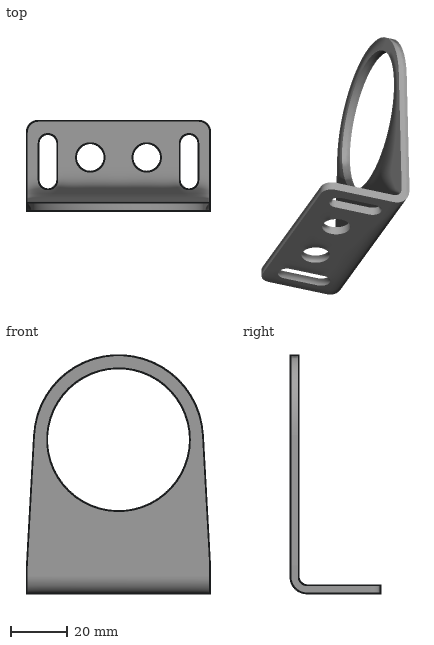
import cadquery as cq
import math

width = 65.0
depth = 32.0
thickness = 3.0
inner_bend_radius = 3.0
outer_bend_radius = inner_bend_radius + thickness

head_radius = 30.0
head_center_z = 54.5
bore_diameter = 50.5
straight_side_height = 10.0
height = head_center_z + head_radius

corner_radius = 4.0
hole_diameter = 10.0
hole_spacing = 20.0
hole_y = 19.0
slot_width = 6.5
slot_length = 19.5
slot_spacing = 50.0
slot_y = 17.5


def bent_sheet():
    """L-shaped strip: base along +Y, upright along +Z, front face at Y = 0."""
    return (
        cq.Workplane("YZ")
        .moveTo(depth, 0)
        .lineTo(outer_bend_radius, 0)
        .radiusArc((0, outer_bend_radius), outer_bend_radius)
        .lineTo(0, height)
        .lineTo(thickness, height)
        .lineTo(thickness, outer_bend_radius)
        .radiusArc((outer_bend_radius, thickness), -inner_bend_radius)
        .lineTo(depth, thickness)
        .close()
        .extrude(width / 2, both=True)
    )


def front_outline():
    """Front silhouette through the full depth: sides taper tangentially into the head."""
    half_width = width / 2
    drop = head_center_z - straight_side_height
    tangent_angle = math.acos(head_radius / math.hypot(half_width, drop)) - math.atan2(drop, half_width)
    tangent_x = head_radius * math.cos(tangent_angle)
    tangent_z = head_center_z + head_radius * math.sin(tangent_angle)
    return (
        cq.Workplane("XZ")
        .moveTo(-half_width, 0)
        .lineTo(half_width, 0)
        .lineTo(half_width, straight_side_height)
        .lineTo(tangent_x, tangent_z)
        .threePointArc((0, height), (-tangent_x, tangent_z))
        .lineTo(-half_width, straight_side_height)
        .close()
        .extrude(-depth)
    )


def head_bore():
    """Large round opening, concentric with the head."""
    return (
        cq.Workplane("XZ")
        .center(0, head_center_z)
        .circle(bore_diameter / 2)
        .extrude(-thickness)
    )


def base_openings():
    """Two round holes between two slots that run along Y, all through the base."""
    holes = (
        cq.Workplane("XY")
        .pushPoints([(side * hole_spacing / 2, hole_y) for side in (-1, 1)])
        .circle(hole_diameter / 2)
        .extrude(thickness)
    )
    slots = (
        cq.Workplane("XY")
        .pushPoints([(side * slot_spacing / 2, slot_y) for side in (-1, 1)])
        .slot2D(slot_length, slot_width, 90)
        .extrude(thickness)
    )
    return holes.union(slots)


bracket = bent_sheet().intersect(front_outline())
bracket = bracket.edges("|Z and >Y").fillet(corner_radius)
result = bracket.cut(head_bore()).cut(base_openings())